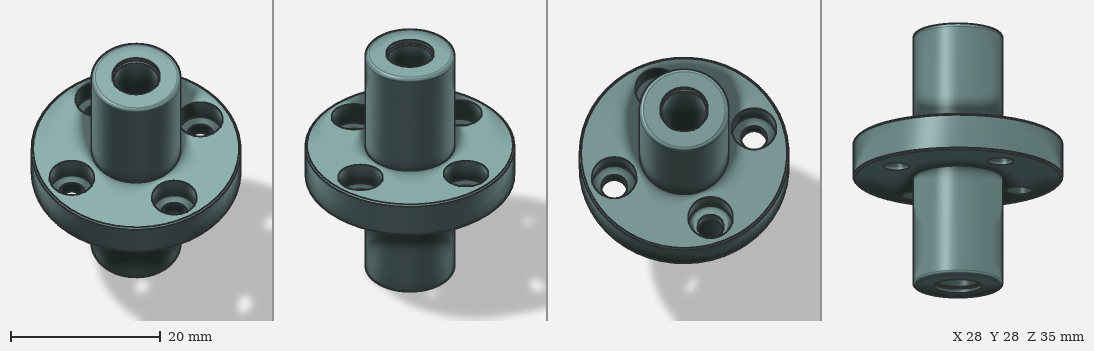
import cadquery as cq

length = 35.0
sleeve_diameter = 12.0
sleeve_end_fillet = 0.52

bore_diameter = 6.0
mouth_diameter = 6.4
mouth_depth = 0.8
groove_diameter = 6.8
groove_width = 0.2

flange_diameter = 28.0
flange_thickness = 5.0
flange_chamfer = 0.25

screw_hole_count = 4
screw_circle_diameter = 20.0
screw_hole_diameter = 3.5
counterbore_diameter = 6.0
counterbore_depth = 3.1


def make_disc(diameter, height):
    """Cylinder on the Z axis, centred on the origin."""
    return cq.Workplane("XY").cylinder(height, diameter / 2)


def make_flange():
    """Chamfered flange with its ring of counterbored screw holes."""
    return (
        make_disc(flange_diameter, flange_thickness)
        .edges()
        .chamfer(flange_chamfer)
        .faces(">Z")
        .workplane()
        .polarArray(screw_circle_diameter / 2, 0, 360, screw_hole_count)
        .cboreHole(screw_hole_diameter, counterbore_diameter, counterbore_depth)
    )


def make_end_discs(diameter, outer_length, disc_thickness):
    """Two equal discs whose outer faces are outer_length apart, each disc_thickness thick."""
    return make_disc(diameter, outer_length).cut(make_disc(diameter, outer_length - 2 * disc_thickness))


def make_bore():
    """Solid to remove from the sleeve: through bore, end mouths and their grooves."""
    groove_outer_length = length - 2 * (mouth_depth - groove_width)
    bore = make_disc(bore_diameter, length)
    mouths = make_end_discs(mouth_diameter, length, mouth_depth)
    grooves = make_end_discs(groove_diameter, groove_outer_length, groove_width)
    return bore.union(mouths).union(grooves)


sleeve = make_disc(sleeve_diameter, length).edges().fillet(sleeve_end_fillet)
result = sleeve.union(make_flange()).cut(make_bore())